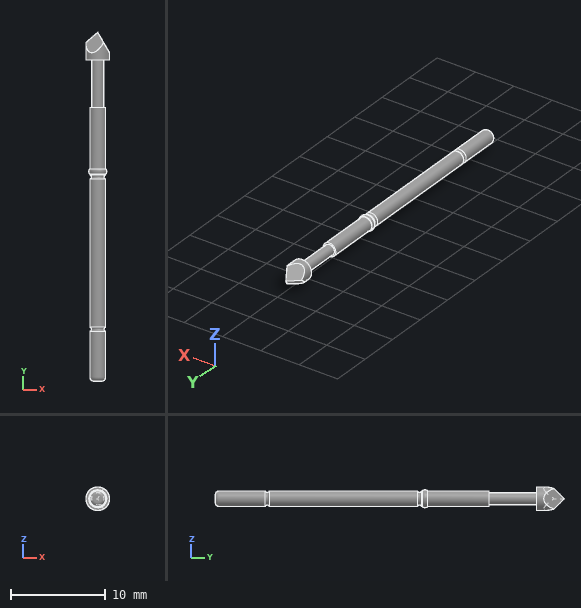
import cadquery as cq
import math

length = 37.0

barrel_radius = 0.832
barrel_end = 29.05
tail_fillet = 0.4

collar_radius = 0.95
collar_edge_radius = 0.9
collar_bottom = 21.98
collar_top = 22.5

groove_depth = 0.15
groove_width = 0.45
lower_groove_center = 5.5
upper_groove_center = 21.65

plunger_radius = 0.648
head_radius = 1.25
head_base = 34.05

facet_count = 3
facet_angle = 30.0


def cylinder(radius, start, end):
    """Solid cylinder on the Y axis between two Y positions."""
    plane = cq.Plane(origin=(0, start, 0), xDir=(1, 0, 0), normal=(0, 1, 0))
    return cq.Workplane(plane).circle(radius).extrude(end - start)


def crimp_groove(center):
    """Ring whose inner side is an arc dipping below the barrel surface."""
    half_width = groove_width / 2
    outer_radius = barrel_radius + groove_depth
    return (
        cq.Workplane("XY")
        .moveTo(outer_radius, center - half_width)
        .lineTo(barrel_radius, center - half_width)
        .threePointArc(
            (barrel_radius - groove_depth, center),
            (barrel_radius, center + half_width),
        )
        .lineTo(outer_radius, center + half_width)
        .close()
        .revolve(360, (0, 0, 0), (0, 1, 0))
    )


def make_collar():
    """Disc whose rim bulges outward along an arc."""
    middle = (collar_bottom + collar_top) / 2
    return (
        cq.Workplane("XY")
        .moveTo(0, collar_bottom)
        .lineTo(collar_edge_radius, collar_bottom)
        .threePointArc((collar_radius, middle), (collar_edge_radius, collar_top))
        .lineTo(0, collar_top)
        .close()
        .revolve(360, (0, 0, 0), (0, 1, 0))
    )


def make_barrel():
    barrel = cylinder(barrel_radius, 0, barrel_end).faces("<Y").edges().fillet(tail_fillet)
    for center in (lower_groove_center, upper_groove_center):
        barrel = barrel.cut(crimp_groove(center))
    return barrel.union(make_collar())


def facet_cutter(turn):
    """Wedge outside one sloped tip facet, turned about the probe axis."""
    reach = 2 * head_radius
    drop = reach / math.tan(math.radians(facet_angle))
    return (
        cq.Workplane("XY")
        .polyline([(0, length), (reach, length - drop), (reach, length)])
        .close()
        .extrude(reach, both=True)
        .rotate((0, 0, 0), (0, 1, 0), turn)
    )


def make_plunger():
    head = cylinder(head_radius, head_base, length)
    for index in range(facet_count):
        head = head.cut(facet_cutter(index * 360 / facet_count))
    stem = cylinder(plunger_radius, barrel_end, head_base)
    return stem.union(head)


result = make_barrel().union(make_plunger())